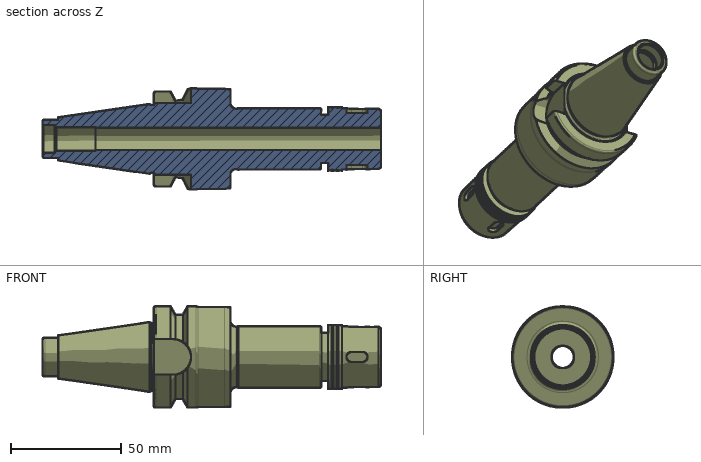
import cadquery as cq
import math


GAUGE_DIAMETER = 31.75
TAPER_RATIO = 7 / 24
SHANK_LENGTH = 48.4
PILOT_LENGTH = 7.0
PILOT_DIAMETER = 17.6
PILOT_FACE_DIAMETER = 15.5
TAPER_LEAD_DIAMETER = 19.0
RELIEF_DIAMETER = 30.8
RELIEF_START = 0.9

FLANGE_DIAMETER = 46.0
FLANGE_START = 2.0
FLANGE_EDGE_RADIUS = 1.0
UNDERCUT_DIAMETER = 34.0
UNDERCUT_DEPTH = 0.2
UNDERCUT_SLOPE_WIDTH = 0.45
UNDERCUT_FILLET = 0.6
V_CENTER = 13.5
V_MOUTH_WIDTH = 7.8
V_DEPTH = 3.85
V_HALF_ANGLE = 30.0
COLLAR_DIAMETER = 45.5
COLLAR_STEP_START = 21.2
COLLAR_STEP_END = 22.0
COLLAR_SLOPE_START = 34.0
COLLAR_SLOPE_END = 36.3
COLLAR_END_DIAMETER = 45.2
COLLAR_END_ROUNDING = 0.5
COLLAR_END = COLLAR_SLOPE_END + COLLAR_END_ROUNDING

KEYWAY_WIDTH = 16.1
KEYWAY_FLOOR = 16.3
KEYWAY_END = 18.9

BODY_DIAMETER = 28.0
BODY_END = 78.0
BODY_END_ROUNDING = 1.0
BODY_RELIEF_DIAMETER = 27.6
BODY_RELIEF_END = 39.8
BODY_FULL_START = 40.4
BODY_FILLET = 2.4
NECK_DIAMETER = 22.0

NUT_START = 81.0
NUT_END = 105.0
NUT_RIM_DIAMETER = 29.0
NUT_RIM_WIDTH = 6.3
NUT_BODY_DIAMETER = 28.0
NUT_FRONT_DIAMETER = 27.4
NUT_NOSE_LENGTH = 1.1
NUT_NOSE_DROP = 0.8
RIM_GROOVE_STARTS = (82.5, 84.9)
RIM_GROOVE_WIDTH = 0.9
RIM_GROOVE_DIAMETER = 28.0

SLOT_COUNT = 4
SLOT_CENTER = 94.1
SLOT_LENGTH = 9.5
SLOT_WIDTH = 4.5
SLOT_DEPTH = 2.2

THROUGH_BORE_DIAMETER = 10.0
MOUTH_DIAMETER = 13.5
PULL_BORE_DIAMETER = 12.5
PULL_BORE_DEPTH = 5.5
THREAD_DIAMETER = 10.5
THREAD_DEPTH = 24.0
STEP_CONE_DIAMETER = 12.0
STEP_CONE_LENGTH = 0.8

SHANK_START = -SHANK_LENGTH
OVERALL_LENGTH = NUT_END - SHANK_START


def cylinder_along_x(diameter, start, length):
    return cq.Workplane("YZ").workplane(offset=start).circle(diameter / 2).extrude(length)


def cone_along_x(start, start_diameter, length, end_diameter):
    end = start + length
    points = [(start, 0), (start, start_diameter / 2), (end, end_diameter / 2), (end, 0)]
    return cq.Workplane("XY").polyline(points).close().revolve(360, (0, 0, 0), (1, 0, 0))


def make_turned_shape():
    inset = 1 - math.sqrt(0.5)
    pilot_end = SHANK_START + PILOT_LENGTH
    pilot_radius = PILOT_DIAMETER / 2
    pilot_rounding = pilot_radius - PILOT_FACE_DIAMETER / 2
    taper_small_radius = (GAUGE_DIAMETER + pilot_end * TAPER_RATIO) / 2
    taper_lead = taper_small_radius - TAPER_LEAD_DIAMETER / 2
    relief_radius = RELIEF_DIAMETER / 2
    flange_radius = FLANGE_DIAMETER / 2
    undercut_face = FLANGE_START + UNDERCUT_DEPTH
    collar_end_radius = COLLAR_END_DIAMETER / 2
    body_radius = BODY_DIAMETER / 2
    body_relief_radius = BODY_RELIEF_DIAMETER / 2
    rim_radius = NUT_RIM_DIAMETER / 2
    nut_front_radius = NUT_FRONT_DIAMETER / 2

    v_mouth_start = V_CENTER - V_MOUTH_WIDTH / 2
    v_mouth_end = V_CENTER + V_MOUTH_WIDTH / 2
    v_run = V_DEPTH * math.tan(math.radians(V_HALF_ANGLE))
    v_floor_radius = flange_radius - V_DEPTH

    profile = (
        cq.Workplane("XY")
        .moveTo(SHANK_START, 0)
        .lineTo(SHANK_START, pilot_radius - pilot_rounding)
        .threePointArc(
            (SHANK_START + pilot_rounding * inset, pilot_radius - pilot_rounding * inset),
            (SHANK_START + pilot_rounding, pilot_radius),
        )
        .lineTo(pilot_end, pilot_radius)
        .lineTo(pilot_end, taper_small_radius - taper_lead)
        .lineTo(pilot_end + taper_lead, taper_small_radius + taper_lead * TAPER_RATIO / 2)
        .lineTo(0, GAUGE_DIAMETER / 2)
        .lineTo(RELIEF_START, relief_radius)
        .lineTo(undercut_face - UNDERCUT_FILLET, relief_radius)
        .threePointArc(
            (undercut_face - UNDERCUT_FILLET * inset, relief_radius + UNDERCUT_FILLET * inset),
            (undercut_face, relief_radius + UNDERCUT_FILLET),
        )
        .lineTo(undercut_face, UNDERCUT_DIAMETER / 2)
        .lineTo(FLANGE_START, UNDERCUT_DIAMETER / 2 + UNDERCUT_SLOPE_WIDTH)
        .lineTo(FLANGE_START, flange_radius - FLANGE_EDGE_RADIUS)
        .threePointArc(
            (FLANGE_START + FLANGE_EDGE_RADIUS * inset, flange_radius - FLANGE_EDGE_RADIUS * inset),
            (FLANGE_START + FLANGE_EDGE_RADIUS, flange_radius),
        )
        .lineTo(v_mouth_start, flange_radius)
        .lineTo(v_mouth_start + v_run, v_floor_radius)
        .lineTo(v_mouth_end - v_run, v_floor_radius)
        .lineTo(v_mouth_end, flange_radius)
        .lineTo(COLLAR_STEP_START, flange_radius)
        .lineTo(COLLAR_STEP_END, COLLAR_DIAMETER / 2)
        .lineTo(COLLAR_SLOPE_START, COLLAR_DIAMETER / 2)
        .lineTo(COLLAR_SLOPE_END, collar_end_radius)
        .threePointArc(
            (COLLAR_END - COLLAR_END_ROUNDING * inset, collar_end_radius - COLLAR_END_ROUNDING * inset),
            (COLLAR_END, collar_end_radius - COLLAR_END_ROUNDING),
        )
        .lineTo(COLLAR_END, body_relief_radius + BODY_FILLET)
        .threePointArc(
            (COLLAR_END + BODY_FILLET * inset, body_relief_radius + BODY_FILLET * inset),
            (COLLAR_END + BODY_FILLET, body_relief_radius),
        )
        .lineTo(BODY_RELIEF_END, body_relief_radius)
        .lineTo(BODY_FULL_START, body_radius)
        .lineTo(BODY_END - BODY_END_ROUNDING, body_radius)
        .threePointArc(
            (BODY_END - BODY_END_ROUNDING * inset, body_radius - BODY_END_ROUNDING * inset),
            (BODY_END, body_radius - BODY_END_ROUNDING),
        )
        .lineTo(BODY_END, NECK_DIAMETER / 2)
        .lineTo(NUT_START, NECK_DIAMETER / 2)
        .lineTo(NUT_START, rim_radius)
        .lineTo(NUT_START + NUT_RIM_WIDTH, rim_radius)
        .lineTo(NUT_START + NUT_RIM_WIDTH, NUT_BODY_DIAMETER / 2)
        .lineTo(NUT_END - NUT_NOSE_LENGTH, nut_front_radius)
        .lineTo(NUT_END, nut_front_radius - NUT_NOSE_DROP)
        .lineTo(NUT_END, 0)
        .close()
    )
    return profile.revolve(360, (0, 0, 0), (1, 0, 0))


def cut_rim_grooves(shape):
    rim_radius = NUT_RIM_DIAMETER / 2
    for start in RIM_GROOVE_STARTS:
        v_groove = (
            cq.Workplane("XY")
            .moveTo(start, rim_radius)
            .lineTo(start + RIM_GROOVE_WIDTH / 2, RIM_GROOVE_DIAMETER / 2)
            .lineTo(start + RIM_GROOVE_WIDTH, rim_radius)
            .close()
            .revolve(360, (0, 0, 0), (1, 0, 0))
        )
        shape = shape.cut(v_groove)
    return shape


def cut_drive_keyways(shape):
    half_width = KEYWAY_WIDTH / 2
    keyway = (
        cq.Workplane("XZ")
        .workplane(offset=KEYWAY_FLOOR)
        .moveTo(FLANGE_START, -half_width)
        .lineTo(KEYWAY_END - half_width, -half_width)
        .threePointArc((KEYWAY_END, 0), (KEYWAY_END - half_width, half_width))
        .lineTo(FLANGE_START, half_width)
        .close()
        .extrude(FLANGE_DIAMETER / 2)
    )
    return shape.cut(keyway).cut(keyway.mirror("XZ"))


def cut_spanner_slots(shape):
    slot = (
        cq.Workplane("XY")
        .workplane(offset=NUT_BODY_DIAMETER / 2 - SLOT_DEPTH)
        .center(SLOT_CENTER, 0)
        .slot2D(SLOT_LENGTH, SLOT_WIDTH)
        .extrude(2 * SLOT_DEPTH)
    )
    for index in range(SLOT_COUNT):
        shape = shape.cut(slot.rotate((0, 0, 0), (1, 0, 0), index * 360 / SLOT_COUNT))
    return shape


def cut_bore(shape):
    mouth_chamfer = (MOUTH_DIAMETER - PULL_BORE_DIAMETER) / 2
    pull_bore_end = SHANK_START + PULL_BORE_DEPTH
    shape = shape.cut(cylinder_along_x(THROUGH_BORE_DIAMETER, SHANK_START, OVERALL_LENGTH))
    shape = shape.cut(cone_along_x(SHANK_START, MOUTH_DIAMETER, mouth_chamfer, PULL_BORE_DIAMETER))
    shape = shape.cut(cylinder_along_x(PULL_BORE_DIAMETER, SHANK_START, PULL_BORE_DEPTH))
    shape = shape.cut(cone_along_x(pull_bore_end, STEP_CONE_DIAMETER, STEP_CONE_LENGTH, THREAD_DIAMETER))
    return shape.cut(cylinder_along_x(THREAD_DIAMETER, SHANK_START, THREAD_DEPTH))


result = make_turned_shape()
result = cut_rim_grooves(result)
result = cut_drive_keyways(result)
result = cut_spanner_slots(result)
result = cut_bore(result)